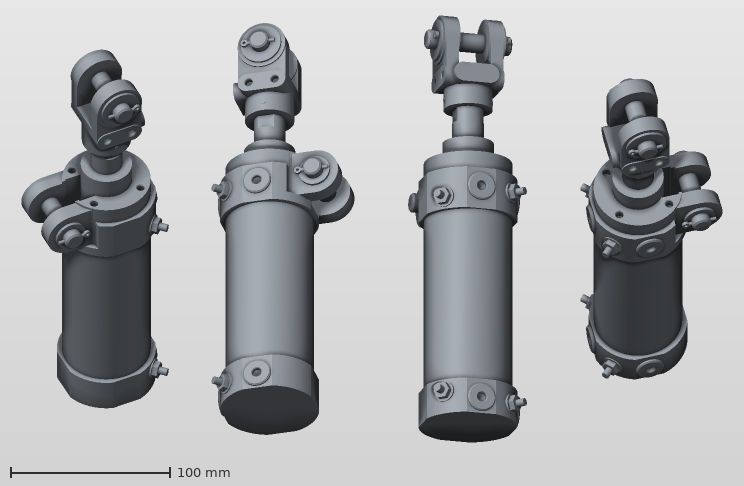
import cadquery as cq
import math

OVERALL_HEIGHT = 269.5
CUT_MARGIN = 2.7

TUBE_DIA = 55.8
CAP_DIA = 62.3
CAP_FLAT = 29.6
FOOT_TOP = 22.6
RING_BOTTOM = 135.3
RING_TOP = 162.2
HEAD_TOP = 173.5
SLEEVE_DIA = 32.3
SLEEVE_TOP = 187.0

SCREW_HOLE_DIA = 4.9
SCREW_HOLE_RIM = 6.0
SCREW_HOLE_DEPTH = 5.5
SCREW_HOLE_OFFSET = 16.2

PORT_HEIGHTS = (10.2, 149.8)
PORT_ANGLES = (90, 180)
PORT_DIA = 18.0
PORT_FACE = 31.5
PORT_CHAMFER = 0.8
PORT_HOLE_DIA = 6.0
PORT_HOLE_RIM = 7.0
PORT_HOLE_DEPTH = 2.7
VALVE_PLACES = ((135, 10.2), (45, 14.5), (135, 149.8), (45, 143.0))
VALVE_FLANGE_DIA = 13.2
VALVE_FLANGE_END = 31.8
VALVE_HEX_CORNERS = 11.0
VALVE_HEX_END = 35.3
VALVE_STEM_DIA = 4.9
VALVE_STEM_END = 40.7

LUG_Y = -34.8
LUG_Z = 156.8
LUG_RADIUS = 15.0
LUG_OUTER = 19.7
LUG_INNER = 9.5
LUG_BOSS_DIA = 20.0
LUG_BOSS_FACE = 21.5
NOTCH_HALF = 10.5
NOTCH_FRONT = -23.7
NOTCH_FLOOR = 139.5
RELIEF_BACK = -17.8
RELIEF_FILLET = 3.0

ROD_DIA = 20.0
ROD_FLATS = 17.0
FLATS_BOTTOM = 200.2
THREAD_DIA = 16.0
THREAD_CHAMFER = 0.8

YOKE_DIA = 31.0
YOKE_BOTTOM = 209.0
YOKE_PIN_Z = OVERALL_HEIGHT - YOKE_DIA / 2
YOKE_FLOOR = 234.5
YOKE_SLOT_HALF = 10.5
YOKE_CHEEK = 18.5
YOKE_EYE_INNER = 9.5
YOKE_EYE_OUTER = 19.7
YOKE_BOSS_DIA = 26.0
YOKE_BOSS_FACE = 21.3
PAD_HEIGHT = 12.5
PAD_Z = YOKE_FLOOR - PAD_HEIGHT / 2
PAD_SIDE_FACE = 19.5
PAD_BACK_LENGTH = 29.5
PAD_BACK_FACE = 20.0
PAD_HOLE_SPACING = 17.0
PAD_HOLE_DIA = 4.9
PAD_HOLE_RIM = 6.0
PAD_HOLE_DEPTH = 4.0
DOWEL_DIA = 3.0
DOWEL_Z = 215.0
DOWEL_HALF = 16.0

PIN_DIA = 12.0
PIN_HALF = 27.5
PIN_CHAMFER = 1.0
COTTER_DIA = 2.3
COTTER_X = 23.7
COTTER_TAIL = 9.7
COTTER_EYE_DIA = 4.5
COTTER_EYE_HOLE = 2.0
COTTER_EYE_WIDTH = 2.0
COTTER_EYE_Y = 10.0

PIN_AXES = ((0, YOKE_PIN_Z), (LUG_Y, LUG_Z))
SIDES = (-1, 1)


def x_rod(diameter, x_start, x_end, y, z):
    """Cylinder along X."""
    return (
        cq.Workplane("YZ", origin=(x_start, 0, 0))
        .center(y, z)
        .circle(diameter / 2)
        .extrude(x_end - x_start)
    )


def z_rod(diameter, z_start, z_end):
    """Cylinder along Z on the main axis."""
    return cq.Workplane("XY").workplane(offset=z_start).circle(diameter / 2).extrude(z_end - z_start)


def block(x_range, y_range, z_range):
    """Box between the given limits."""
    (x0, x1), (y0, y1), (z0, z1) = x_range, y_range, z_range
    return cq.Workplane("XY").box(x1 - x0, y1 - y0, z1 - z0, centered=False).translate((x0, y0, z0))


def radial(shape, angle, z):
    """Turn a shape made along +X to the given angle about Z and lift it to z."""
    return shape.rotate((0, 0, 0), (0, 0, 1), angle).translate((0, 0, z))


def end_cap(z_start, z_end):
    """Round end cap with a flat on each of its four sides."""
    flats = block((-CAP_FLAT, CAP_FLAT), (-CAP_FLAT, CAP_FLAT), (z_start, z_end))
    return z_rod(CAP_DIA, z_start, z_end).intersect(flats)


def rimmed_hole(diameter, rim, depth, point=True):
    """Cutter for a blind hole with a chamfered rim, opening at the origin and running along -X."""
    radius = diameter / 2
    rim_radius = rim / 2
    chamfer = rim_radius - radius
    tip_depth = depth + radius / math.sqrt(3) if point else depth
    return (
        cq.Workplane("XY")
        .polyline([(0, 0), (0, rim_radius), (-chamfer, radius), (-depth, radius), (-tip_depth, 0)])
        .close()
        .revolve(360, (0, 0, 0), (1, 0, 0))
    )


def make_port():
    """Port boss along +X."""
    return x_rod(PORT_DIA, 0, PORT_FACE, 0, 0).faces(">X").chamfer(PORT_CHAMFER)


def make_valve():
    """Cushion valve along +X: flange, hexagon and stem."""
    hexagon = cq.Workplane("YZ").polygon(6, VALVE_HEX_CORNERS).extrude(VALVE_HEX_END)
    return (
        x_rod(VALVE_FLANGE_DIA, 0, VALVE_FLANGE_END, 0, 0)
        .union(hexagon)
        .union(x_rod(VALVE_STEM_DIA, 0, VALVE_STEM_END, 0, 0))
    )


def relief_cut(side):
    """Clearance beside an ear, open to the front and top, with a filleted inner corner."""
    reach = CAP_DIA
    floor = LUG_Z - LUG_RADIUS
    cut = block((LUG_OUTER, reach), (-reach, RELIEF_BACK), (floor, HEAD_TOP + CUT_MARGIN))
    cut = cut.edges("|Z and <X and >Y").fillet(RELIEF_FILLET)
    return cut if side > 0 else cut.mirror("YZ")


def make_lug(side):
    """One ear on the front of the head, with its outer boss."""
    root = (
        cq.Workplane("YZ", origin=(LUG_INNER, 0, 0))
        .moveTo(NOTCH_FRONT, LUG_Z - LUG_RADIUS)
        .lineTo(LUG_Y, LUG_Z - LUG_RADIUS)
        .threePointArc((LUG_Y - LUG_RADIUS, LUG_Z), (LUG_Y, LUG_Z + LUG_RADIUS))
        .lineTo(NOTCH_FRONT, LUG_Z + LUG_RADIUS)
        .close()
        .extrude(LUG_OUTER - LUG_INNER)
    )
    inner_end = block(
        (NOTCH_HALF, LUG_OUTER),
        (NOTCH_FRONT, RELIEF_BACK),
        (LUG_Z - LUG_RADIUS, LUG_Z + LUG_RADIUS),
    )
    lug = root.union(inner_end).union(x_rod(LUG_BOSS_DIA, LUG_INNER, LUG_BOSS_FACE, LUG_Y, LUG_Z))
    return lug if side > 0 else lug.mirror("YZ")


def make_housing():
    """Closed tube with foot, ring, head and sleeve, front ears, ports and valves."""
    upper = end_cap(RING_BOTTOM, RING_TOP).union(z_rod(TUBE_DIA, RING_BOTTOM, HEAD_TOP))

    top = HEAD_TOP + CUT_MARGIN
    upper = upper.cut(block((-NOTCH_HALF, NOTCH_HALF), (NOTCH_FRONT, 0), (NOTCH_FLOOR, top)))
    upper = upper.cut(block((-LUG_INNER, LUG_INNER), (-CAP_DIA, NOTCH_FRONT), (NOTCH_FLOOR, top)))

    for side in SIDES:
        upper = upper.cut(relief_cut(side)).union(make_lug(side))

    screw_hole = rimmed_hole(SCREW_HOLE_DIA, SCREW_HOLE_RIM, SCREW_HOLE_DEPTH)
    screw_hole = screw_hole.rotate((0, 0, 0), (0, 1, 0), -90)
    for x_side in SIDES:
        for y_side in SIDES:
            place = (x_side * SCREW_HOLE_OFFSET, y_side * SCREW_HOLE_OFFSET, HEAD_TOP)
            upper = upper.cut(screw_hole.translate(place))
    upper = upper.cut(x_rod(PIN_DIA, -PIN_HALF, PIN_HALF, LUG_Y, LUG_Z))

    body = (
        end_cap(0, FOOT_TOP)
        .union(z_rod(TUBE_DIA, 0, RING_BOTTOM))
        .union(upper)
        .union(z_rod(SLEEVE_DIA, RING_BOTTOM, SLEEVE_TOP))
    )

    port = make_port()
    port_hole = rimmed_hole(PORT_HOLE_DIA, PORT_HOLE_RIM, PORT_HOLE_DEPTH).translate((PORT_FACE, 0, 0))
    for height in PORT_HEIGHTS:
        for angle in PORT_ANGLES:
            body = body.union(radial(port, angle, height)).cut(radial(port_hole, angle, height))
    valve = make_valve()
    for angle, height in VALVE_PLACES:
        body = body.union(radial(valve, angle, height))
    return body


def make_rod():
    """Exposed length of the rod, with wrench flats and a threaded end that fills the yoke bore."""
    neck = z_rod(ROD_DIA, FLATS_BOTTOM, YOKE_BOTTOM).intersect(
        block((-ROD_FLATS / 2, ROD_FLATS / 2), (-ROD_DIA, ROD_DIA), (FLATS_BOTTOM, YOKE_BOTTOM))
    )
    thread = z_rod(THREAD_DIA, YOKE_BOTTOM, YOKE_FLOOR).faces(">Z").chamfer(THREAD_CHAMFER)
    return z_rod(ROD_DIA, SLEEVE_TOP, FLATS_BOTTOM).union(neck).union(thread)


def stadium_x(half_length):
    """Stadium pad across Y, extruded along X to both sides."""
    return (
        cq.Workplane("YZ", origin=(0, 0, PAD_Z))
        .slot2D(YOKE_DIA, PAD_HEIGHT)
        .extrude(half_length, both=True)
    )


def make_yoke():
    """Clevis with round eyes, side and back pads, and a collar around the rod end."""
    half = YOKE_DIA / 2
    cheeks = block((-YOKE_CHEEK, YOKE_CHEEK), (-half, half), (PAD_Z, YOKE_PIN_Z))
    back_pad = (
        cq.Workplane("XZ", origin=(0, 0, PAD_Z))
        .slot2D(PAD_BACK_LENGTH, PAD_HEIGHT)
        .extrude(-PAD_BACK_FACE)
    )
    yoke = cheeks.union(stadium_x(PAD_SIDE_FACE)).union(back_pad)
    slot_width = (-YOKE_SLOT_HALF, YOKE_SLOT_HALF)
    yoke = yoke.cut(block(slot_width, (-YOKE_DIA, YOKE_DIA), (YOKE_FLOOR, OVERALL_HEIGHT)))
    yoke = yoke.union(z_rod(YOKE_DIA, YOKE_BOTTOM, PAD_Z))
    yoke = yoke.union(x_rod(DOWEL_DIA, -DOWEL_HALF, DOWEL_HALF, 0, DOWEL_Z))

    for side in SIDES:
        inner = side * YOKE_EYE_INNER
        yoke = yoke.union(x_rod(YOKE_DIA, inner, side * YOKE_EYE_OUTER, 0, YOKE_PIN_Z))
        yoke = yoke.union(x_rod(YOKE_BOSS_DIA, inner, side * YOKE_BOSS_FACE, 0, YOKE_PIN_Z))
        hole = rimmed_hole(PAD_HOLE_DIA, PAD_HOLE_RIM, PAD_HOLE_DEPTH, point=False)
        if side < 0:
            hole = hole.mirror("YZ")
        for end in SIDES:
            yoke = yoke.cut(hole.translate((side * PAD_SIDE_FACE, end * PAD_HOLE_SPACING / 2, PAD_Z)))

    yoke = yoke.cut(x_rod(PIN_DIA, -PIN_HALF, PIN_HALF, 0, YOKE_PIN_Z))
    return yoke.cut(z_rod(THREAD_DIA, YOKE_BOTTOM, YOKE_FLOOR))


def make_clevis_pin(y, z):
    """Clevis pin along X with chamfered ends and a cross hole for each cotter."""
    pin = x_rod(PIN_DIA, -PIN_HALF, PIN_HALF, y, z).faces("<X or >X").chamfer(PIN_CHAMFER)
    for side in SIDES:
        hole = (
            cq.Workplane("XZ", origin=(side * COTTER_X, y, z))
            .circle(COTTER_DIA / 2)
            .extrude(PIN_DIA, both=True)
        )
        pin = pin.cut(hole)
    return pin


def make_cotter(x, y, z):
    """Cotter along Y: round shank with a flat ring eye at its +Y end."""
    eye_y = y + COTTER_EYE_Y
    shank_end = eye_y - (COTTER_EYE_DIA + COTTER_EYE_HOLE) / 4
    tail = y - COTTER_TAIL
    shank = cq.Workplane("XZ", origin=(x, tail, z)).circle(COTTER_DIA / 2).extrude(tail - shank_end)
    x_start = x - COTTER_EYE_WIDTH / 2
    x_end = x + COTTER_EYE_WIDTH / 2
    eye = x_rod(COTTER_EYE_DIA, x_start, x_end, eye_y, z)
    eye_hole = x_rod(COTTER_EYE_HOLE, x_start, x_end, eye_y, z)
    return shank.union(eye).cut(eye_hole)


cylinder = make_housing().union(make_rod())
yoke = make_yoke()
clevis_pins = [make_clevis_pin(y, z).val() for y, z in PIN_AXES]
cotters = [make_cotter(side * COTTER_X, y, z).val() for y, z in PIN_AXES for side in SIDES]

result = cq.Compound.makeCompound([cylinder.val(), yoke.val(), *clevis_pins, *cotters])